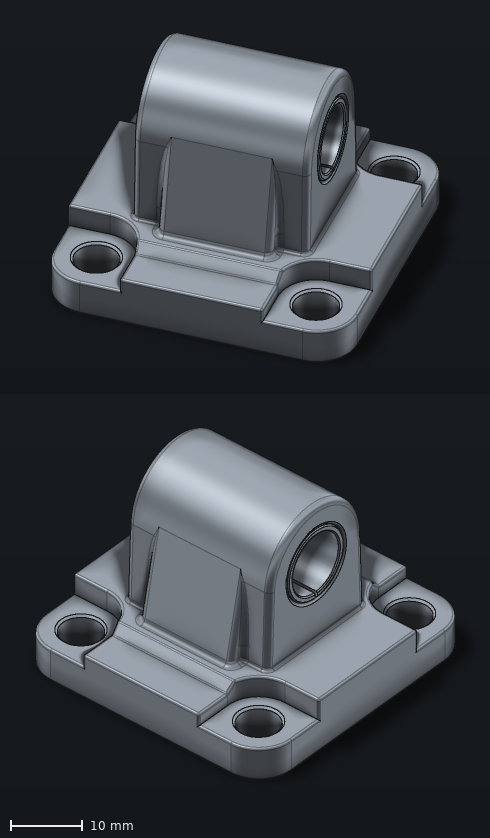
import cadquery as cq
import math

base_side = 45.0
base_height = 9.0
base_corner_radius = 6.0
edge_round = 0.35

shelf_height = 7.5
shelf_inner_y = 16.35

hole_offset = 32.5 / 2
hole_diameter = 6.6
hole_chamfer = 0.35
pocket_floor = 5.5
pocket_wall = 10.6
pocket_radius = hole_offset - pocket_wall

lug_length = 26.0
bore_height = 22.0
lug_radius = 10.0
lug_draft = 2.0
lug_edge_round = 1.0
lug_foot_round = 0.5

rib_half_width = 8.45
rib_tilt = 12.0
rib_round = 1.0

housing_diameter = 12.0
housing_chamfer = 0.5
bushing_bore = 10.0
bushing_slit = 0.5
bushing_chamfer = 0.2

SIGNS = (-1, 1)
tolerance = 0.01


def tangent_point(tilt):
    """Y and Z where a flank tilted off vertical touches the lug cylinder."""
    angle = math.radians(tilt)
    return lug_radius * math.cos(angle), bore_height + lug_radius * math.sin(angle)


def flank_y(tilt, z):
    """Y of the tilted tangent flank at height z."""
    y_touch, z_touch = tangent_point(tilt)
    return y_touch + (z_touch - z) * math.tan(math.radians(tilt))


def make_slab():
    """Lower plate, up to the floor of the corner pockets."""
    slab = cq.Workplane("XY").box(base_side, base_side, pocket_floor, centered=(True, True, False))
    slab = slab.edges("|Z").fillet(base_corner_radius)
    return slab.faces("<Z or >Z").edges().fillet(edge_round)


def make_corner_pocket(sx, sy):
    """Cutter that clears one corner above the slab, rounded about the hole."""
    half = base_side / 2
    cutter = cq.Workplane("XY").box(
        half - pocket_wall, half - pocket_wall, base_height, centered=False
    )
    inner_corner = cutter.edges("|Z and <X and <Y")
    cutter = inner_corner.fillet(pocket_radius).translate((pocket_wall, pocket_wall, 0))
    if sx < 0:
        cutter = cutter.mirror("YZ")
    if sy < 0:
        cutter = cutter.mirror("XZ")
    return cutter


def is_sharp_cross_edge(edge):
    """True for the upper outline edges and the outer upright corners of the raised cross."""
    middle = edge.positionAt(0.5)
    direction = edge.tangentAt(0.5)
    outermost = max(abs(middle.x), abs(middle.y)) > base_side / 2 - tolerance
    if abs(direction.z) > 1 - tolerance:
        return outermost
    on_slope = abs(direction.x) > 1 - tolerance and abs(middle.x) < tolerance
    return middle.z > pocket_floor and (outermost or not on_slope)


def make_cross():
    """Raised cross between the corner pockets, sunk halfway into the slab."""
    half = base_side / 2
    bottom = pocket_floor / 2
    slope_top_y = shelf_inner_y - (base_height - shelf_height)
    cross = (
        cq.Workplane("YZ")
        .moveTo(-half, bottom)
        .lineTo(half, bottom)
        .lineTo(half, shelf_height)
        .lineTo(shelf_inner_y, shelf_height)
        .lineTo(slope_top_y, base_height)
        .lineTo(-slope_top_y, base_height)
        .lineTo(-shelf_inner_y, shelf_height)
        .lineTo(-half, shelf_height)
        .close()
        .extrude(half, both=True)
    )
    slope_zone = cq.selectors.BoxSelector(
        (-half, -shelf_inner_y - tolerance, pocket_floor),
        (half, shelf_inner_y + tolerance, base_height + tolerance),
    )
    cross = cross.edges("|X").edges(slope_zone).fillet(edge_round)
    for sx in SIGNS:
        for sy in SIGNS:
            cross = cross.cut(make_corner_pocket(sx, sy))
    sharp_edges = [edge for edge in cross.edges().vals() if is_sharp_cross_edge(edge)]
    return cross.newObject(sharp_edges).fillet(edge_round)


def make_lug():
    """Drafted upright with a cylindrical crown and rounded end faces."""
    y_touch, z_touch = tangent_point(lug_draft)
    y_bottom = flank_y(lug_draft, 0)
    lug = (
        cq.Workplane("YZ")
        .moveTo(-y_bottom, 0)
        .lineTo(y_bottom, 0)
        .lineTo(y_touch, z_touch)
        .threePointArc((0, bore_height + lug_radius), (-y_touch, z_touch))
        .close()
        .extrude(lug_length / 2, both=True)
    )
    return lug.faces("<X or >X").edges("not <Z").fillet(lug_edge_round)


def make_ribs():
    """Both ribs as one wedge through the lug, with rounded sloping edges."""
    y_touch, z_touch = tangent_point(rib_tilt)
    y_bottom = flank_y(rib_tilt, 0)
    ribs = (
        cq.Workplane("YZ")
        .moveTo(-y_bottom, 0)
        .lineTo(y_bottom, 0)
        .lineTo(y_touch, z_touch)
        .lineTo(-y_touch, z_touch)
        .close()
        .extrude(rib_half_width, both=True)
    )
    return ribs.faces("<X or >X").edges("not |Y").fillet(rib_round)


def is_lug_foot(edge):
    """True for the edges where the lug itself stands on the plate."""
    middle = edge.positionAt(0.5)
    level = abs(middle.z - base_height) < tolerance and edge.BoundingBox().zlen < tolerance
    within_x = abs(middle.x) < lug_length / 2 + tolerance
    within_y = abs(middle.y) < flank_y(lug_draft, base_height) + tolerance
    return level and within_x and within_y


def is_rib_root(edge):
    """True for the edges above the plate where a rib side runs into the flank of the lug."""
    middle = edge.positionAt(0.5)
    beside_rib = rib_half_width - rib_round < abs(middle.x) < rib_half_width + tolerance
    on_flank = abs(middle.y) < flank_y(lug_draft, middle.z) + tolerance
    above_plate = edge.BoundingBox().zlen > tolerance and middle.z > base_height
    return beside_rib and on_flank and above_plate


def make_body():
    """Plate, lug and ribs, blended together.

    With the lug foot rounded first, each rib root runs smoothly into the rib foot,
    so the root fillet carries on all the way around the rib.
    """
    body = make_slab().union(make_cross()).union(make_lug()).union(make_ribs())
    lug_foot = [edge for edge in body.edges().vals() if is_lug_foot(edge)]
    body = body.newObject(lug_foot).fillet(lug_foot_round)
    rib_roots = [edge for edge in body.edges().vals() if is_rib_root(edge)]
    return body.newObject(rib_roots).fillet(rib_round)


def make_mounting_hole():
    """Through-hole cutter with a chamfered mouth at the pocket floor."""
    radius = hole_diameter / 2
    mouth = radius + hole_chamfer
    return (
        cq.Workplane("XZ")
        .moveTo(0, 0)
        .lineTo(radius, 0)
        .lineTo(radius, pocket_floor - hole_chamfer)
        .lineTo(mouth, pocket_floor)
        .lineTo(0, pocket_floor)
        .close()
        .revolve(360, (0, 0), (0, 1))
    )


def revolve_about_bore(points):
    """Ring or plug turned about the bore axis from (x, radius) points."""
    profile = cq.Workplane("XZ").polyline(points).close()
    return profile.revolve(360, (0, 0), (1, 0)).translate((0, 0, bore_height))


def make_bearing_bore():
    """Cutter for the bushing bore, its slit, and the chamfers at both ends."""
    end = lug_length / 2
    bore_radius = bushing_bore / 2
    housing_radius = housing_diameter / 2
    bore = revolve_about_bore(
        [
            (-end, 0),
            (end, 0),
            (end, bore_radius + bushing_chamfer),
            (end - bushing_chamfer, bore_radius),
            (bushing_chamfer - end, bore_radius),
            (-end, bore_radius + bushing_chamfer),
        ]
    )
    slit = (
        cq.Workplane("XY")
        .box(lug_length, bushing_slit, housing_radius, centered=(True, True, False))
        .translate((0, 0, bore_height - housing_radius))
    )
    groove = revolve_about_bore(
        [
            (end, housing_radius - bushing_chamfer),
            (end, housing_radius + housing_chamfer),
            (end - housing_chamfer, housing_radius),
            (end - bushing_chamfer, housing_radius),
        ]
    )
    return bore.union(slit).union(groove).union(groove.mirror("YZ"))


result = make_body().cut(make_bearing_bore())
for sx in SIGNS:
    for sy in SIGNS:
        result = result.cut(make_mounting_hole().translate((sx * hole_offset, sy * hole_offset, 0)))